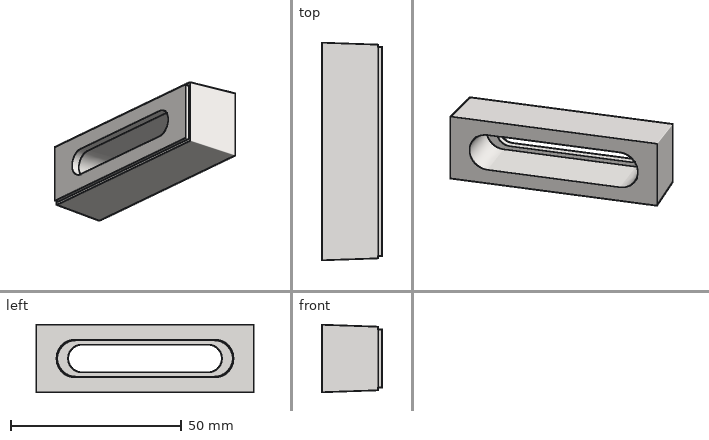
import cadquery as cq

length = 64.0
height = 19.9
total_depth = 17.7
lip_depth = 1.2
body_depth = total_depth - lip_depth
draft_angle = 2.0
corner_radius = 0.2

lip_length = 61.45
lip_height = 17.1

slot_length = 45.1
slot_height = 8.05
recess_length = 52.0
recess_height = 11.15
recess_floor_thickness = 2.55
recess_depth = total_depth - recess_floor_thickness
recess_draft_angle = 1.0


def plane_at(x):
    """Sketch plane facing +X, with its horizontal direction along +Y."""
    return cq.Workplane("YZ", origin=(x, 0, 0))


def make_body():
    """Drafted block with its four long corners along X slightly rounded."""
    block = plane_at(0).rect(length, height).extrude(body_depth, taper=draft_angle)
    return block.edges("not(#X)").fillet(corner_radius)


def make_lip():
    """Straight plate with the same small corner rounding as the block."""
    plate = plane_at(body_depth).rect(lip_length, lip_height).extrude(lip_depth)
    return plate.edges("|X").fillet(corner_radius)


def make_recess():
    """Rounded pocket that narrows slightly towards its floor."""
    profile = plane_at(0).slot2D(recess_length, recess_height)
    return profile.extrude(recess_depth, taper=recess_draft_angle)


def make_slot():
    return plane_at(0).slot2D(slot_length, slot_height).extrude(total_depth)


result = make_body().union(make_lip()).cut(make_recess()).cut(make_slot())